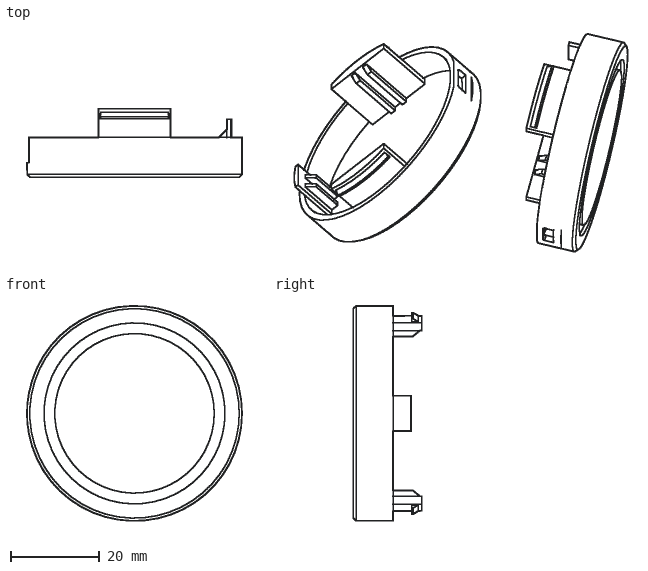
import cadquery as cq
import math

case_radius = 24.265
case_depth = 9.0
front_chamfer = 0.65
floor_thickness = 2.0
wall_thickness = 1.5
cavity_radius = case_radius - wall_thickness

groove_inner_radius = 17.98
groove_outer_radius = 20.4
groove_depth = 0.8

flat_width = 9.3
flat_start = 3.3
flat_offset = math.sqrt(case_radius**2 - (flat_width / 2) ** 2)
window_width = 6.9
window_start = 5.15
window_end = 7.6
window_chamfer = 0.4

insert_radius = 22.02

clip_end = 15.5
clip_width = 16.3
clip_inner_offset = 18.65
hook_half_angle = 20.2
hook_height = 0.67
hook_start = 13.2
hook_crest_end = 13.6
hook_end = 14.68
clip_rib_inner_offset = 17.33
clip_rib_shoulder = 13.45
clip_rib_end = 15.05

lug_end = 13.1
lug_width = 8.04
lug_inner_offset = 20.8
lug_rib_inner_offset = 19.0
lug_rib_shoulder = case_depth
lug_rib_end = lug_rib_shoulder + lug_inner_offset - lug_rib_inner_offset

rib_spacing = 3.5
rib_thickness = 1.2

overlap = 0.2


def disc(radius, y_start, y_end):
    """Cylinder about the Y axis between two depths."""
    return cq.Workplane("XZ", origin=(0, y_start, 0)).circle(radius).extrude(y_start - y_end)


def block(x_start, x_end, y_start, y_end, width):
    """Box centred on z = 0."""
    size = (x_end - x_start, y_end - y_start, width)
    return cq.Workplane("XY").box(*size, centered=(False, False, True)).translate((x_start, y_start, 0))


def make_shell():
    body = disc(case_radius, 0, case_depth).faces("<Y").chamfer(front_chamfer)
    cavity = disc(cavity_radius, floor_thickness, case_depth)
    groove = disc(groove_outer_radius, 0, groove_depth).cut(disc(groove_inner_radius, 0, groove_depth))
    return body.cut(cavity).cut(groove)


def cut_connector_window(shell):
    flat = block(-case_radius, -flat_offset, flat_start, case_depth, flat_width)
    window = block(-case_radius, -insert_radius, window_start, window_end, window_width)
    window = window.edges("|X and >Y").chamfer(window_chamfer)
    return shell.cut(flat).cut(window)


def make_plate(inner_offset, width, y_end):
    """Upright on the +X side: flat inside, round outside, standing on the floor."""
    y_start = floor_thickness - overlap
    blank = block(inner_offset, case_radius, y_start, y_end, width)
    return blank.intersect(disc(insert_radius, y_start, y_end))


def make_ribs(inner_offset, plate_offset, shoulder, y_end):
    """Pair of ribs on the inner face of a +X plate, sloping down from the plate."""
    y_start = floor_thickness - overlap
    profile = [
        (plate_offset + overlap, y_start),
        (inner_offset, y_start),
        (inner_offset, shoulder),
        (plate_offset, y_end),
        (plate_offset + overlap, y_end),
    ]
    rib = cq.Workplane("XY").polyline(profile).close().extrude(rib_thickness / 2, both=True)
    return rib.translate((0, 0, rib_spacing / 2)).union(rib.translate((0, 0, -rib_spacing / 2)))


def make_hook():
    """Wedge swept around the Y axis on the outside of a +X plate."""
    crest_radius = insert_radius + hook_height
    root_radius = insert_radius - overlap
    profile = [
        (root_radius, hook_start),
        (crest_radius, hook_start),
        (crest_radius, hook_crest_end),
        (insert_radius, hook_end),
        (root_radius, hook_end),
    ]
    sector = cq.Workplane("XY").polyline(profile).close()
    hook = sector.revolve(2 * hook_half_angle, (0, 0, 0), (0, 1, 0))
    return hook.rotate((0, 0, 0), (0, 1, 0), -hook_half_angle)


def make_lug():
    plate = make_plate(lug_inner_offset, lug_width, lug_end)
    ribs = make_ribs(lug_rib_inner_offset, lug_inner_offset, lug_rib_shoulder, lug_rib_end)
    return plate.union(ribs)


def make_clip():
    plate = make_plate(clip_inner_offset, clip_width, clip_end)
    ribs = make_ribs(clip_rib_inner_offset, clip_inner_offset, clip_rib_shoulder, clip_rib_end)
    return plate.union(ribs).union(make_hook())


result = cut_connector_window(make_shell()).union(make_lug())
clip = make_clip()
for turn in (-90, 90):
    result = result.union(clip.rotate((0, 0, 0), (0, 1, 0), turn))